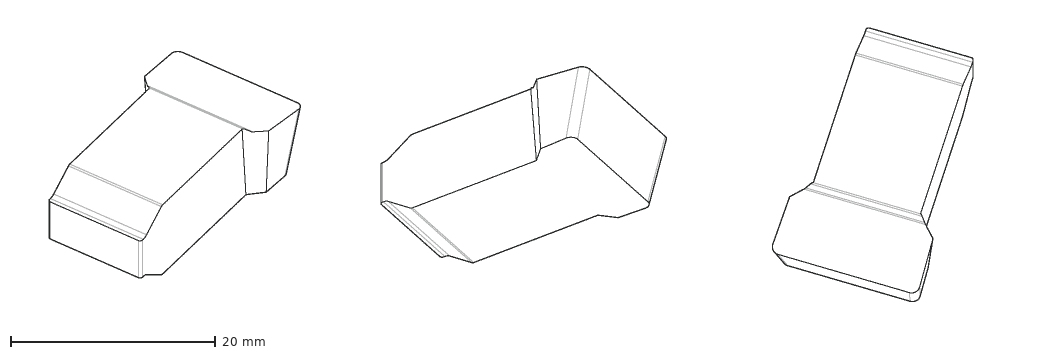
import cadquery as cq
import math


def tan(degrees):
    return math.tan(math.radians(degrees))


length = 25.4
height = 8.89
shank_width = 11.0

edge_height = 7.49
rake_angle = 7.0
step_top_distance = 7.57
step_angle = 45.0
step_radius = 0.25

nose_depth = 2.06
nose_angle = 35.0
nose_land = 0.745
nose_concave_radius = 1.0
nose_crest_radius = 0.4
nose_corner_radius = 0.3

head_width = 15.12
front_relief = 13.0
side_relief = 3.0
side_taper = 2.4
shoulder_start = 7.73
shoulder_relief = 3.0
head_corner_radius = 0.8

shank_half = shank_width / 2
head_half = head_width / 2


def side_profile():
    """Body seen along X, as a solid wide enough to cover the head."""
    edge_bottom_y = -edge_height * tan(front_relief)
    nose_inner_y = -length + nose_land
    nose_crest_y = nose_inner_y + nose_depth / tan(nose_angle)
    foot_rise_to_top = height - edge_height - step_top_distance * tan(rake_angle)
    foot_back = foot_rise_to_top / (tan(step_angle) - tan(rake_angle))
    foot_y = -step_top_distance + foot_back
    foot_z = height - foot_back * tan(step_angle)

    outline = [
        (edge_bottom_y, 0),
        (0, edge_height),
        (foot_y, foot_z),
        (-step_top_distance, height),
        (nose_crest_y, height),
        (nose_inner_y, height - nose_depth),
        (-length, height - nose_depth),
        (-length, nose_depth),
        (nose_inner_y, nose_depth),
        (nose_crest_y, 0),
    ]
    body = cq.Workplane("YZ").polyline(outline).close().extrude(head_half, both=True)

    def round_corners(solid, corners, radius):
        for y, z in corners:
            corner = cq.selectors.NearestToPointSelector((0, y, z))
            solid = solid.edges("|X").edges(corner).fillet(radius)
        return solid

    step_corners = [(foot_y, foot_z), (-step_top_distance, height)]
    crest_corners = [(nose_crest_y, height), (nose_crest_y, 0)]
    inner_corners = [(nose_inner_y, height - nose_depth), (nose_inner_y, nose_depth)]
    body = round_corners(body, step_corners, step_radius)
    body = round_corners(body, crest_corners, nose_crest_radius)
    return round_corners(body, inner_corners, nose_concave_radius)


def head_section(z):
    """Corner points of the head at height z, all of its sides leaning inward going down."""
    tip_y = (z - edge_height) * tan(front_relief)
    side_at_edge = head_half + (z - edge_height) * tan(side_relief)
    tip_x = side_at_edge + tip_y * tan(side_taper)
    relief_slope = tan(shoulder_relief) * math.sqrt(2)
    shoulder_y = -shoulder_start + (height - z) * relief_slope
    shoulder_run = (side_at_edge - shank_half + shoulder_y * tan(side_taper)) / (1 - tan(side_taper))
    outer_x = shank_half + shoulder_run
    outer_y = shoulder_y + shoulder_run
    return [
        (shank_half, shoulder_y),
        (outer_x, outer_y),
        (tip_x, tip_y),
        (-tip_x, tip_y),
        (-outer_x, outer_y),
        (-shank_half, shoulder_y),
    ]


def flat_face(corners):
    return cq.Face.makeFromWires(cq.Wire.makePolygon(corners, close=True))


def head():
    bottom_points = [cq.Vector(x, y, 0) for x, y in head_section(0)]
    top_points = [cq.Vector(x, y, height) for x, y in head_section(height)]
    faces = [flat_face(bottom_points), flat_face(top_points)]
    for i in range(len(bottom_points)):
        faces.append(flat_face([bottom_points[i - 1], bottom_points[i], top_points[i], top_points[i - 1]]))
    tapered = cq.Workplane(cq.Solid.makeSolid(cq.Shell.makeShell(faces)))
    middle = height / 2
    tip_corners = head_section(middle)[2:4]
    for x, y in tip_corners:
        corner = cq.selectors.NearestToPointSelector((x, y, middle))
        tapered = tapered.edges(corner).fillet(head_corner_radius)
    return tapered


def shank():
    shank_front = -shoulder_start + (head_half - shank_half)
    bar_length = length + shank_front
    return (
        cq.Workplane("XY")
        .box(shank_width, bar_length, height, centered=(True, False, False))
        .translate((0, -length, 0))
        .edges("|Z and <Y")
        .fillet(nose_corner_radius)
    )


result = head().union(shank()).intersect(side_profile())